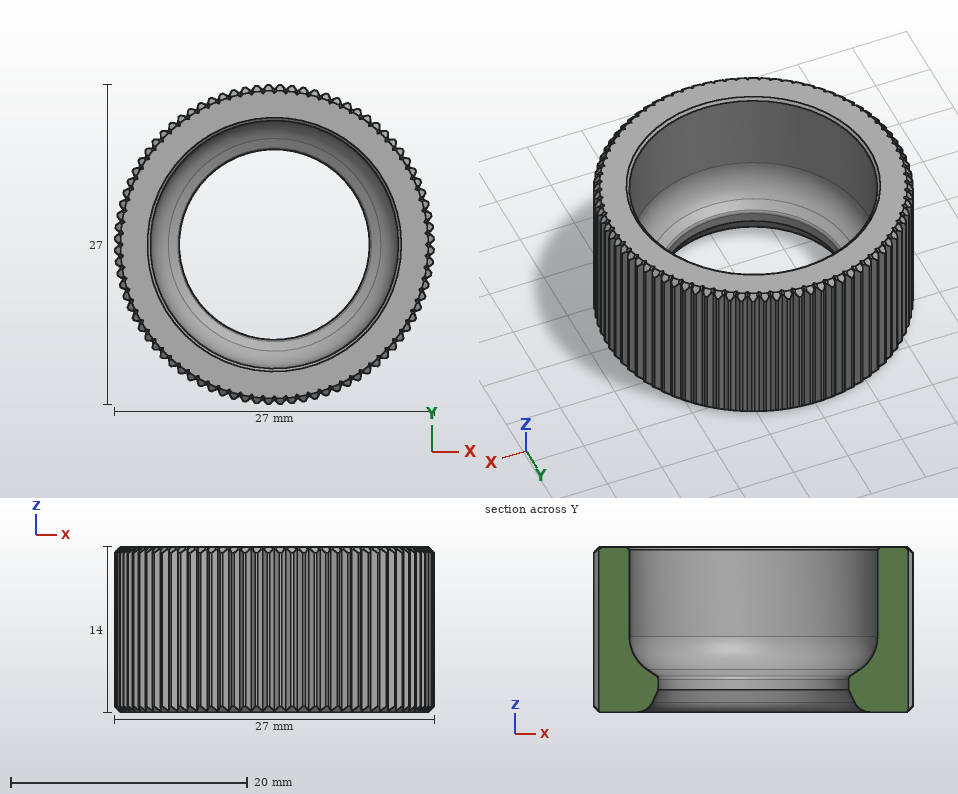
import cadquery as cq
import math

HEIGHT = 14.0
OUTER_RADIUS = 13.52
RIM_CHAMFER = 0.5

GROOVE_COUNT = 84
GROOVE_DEPTH = 0.4
GROOVE_ANGLE = 90.0
RUNOUT_HEIGHT = 0.25
RUNOUT_DEPTH = 0.3
CLEARANCE = 0.5

POCKET_RADIUS = 10.5
POCKET_CHAMFER = 0.25
BOWL_RADIUS = 3.4
BOWL_TOP = 6.45
SEAT_SLOPE = 34.0
BORE_RADIUS = 8.05
BORE_FILLET = 0.35

RELIEF_TOP = 1.9
RELIEF_ANGLE = 25.0
RELIEF_FILLET = 1.5


def arc_point(center, radius, angle):
    """Point on a circle in the (r, z) half-plane, angle in degrees."""
    a = math.radians(angle)
    return (center[0] + radius * math.cos(a), center[1] + radius * math.sin(a))


def make_ring():
    """Revolved ring, before knurling."""
    bowl_center = (POCKET_RADIUS - BOWL_RADIUS, BOWL_TOP)
    seat_angle = 90.0 - SEAT_SLOPE
    bowl_mid = arc_point(bowl_center, BOWL_RADIUS, -seat_angle / 2)
    seat_top = arc_point(bowl_center, BOWL_RADIUS, -seat_angle)

    fillet_r = BORE_RADIUS + BORE_FILLET
    seat_bottom_r = fillet_r - BORE_FILLET * math.cos(math.radians(seat_angle))
    seat_drop = (seat_top[0] - seat_bottom_r) * math.tan(math.radians(SEAT_SLOPE))
    seat_bottom = (seat_bottom_r, seat_top[1] - seat_drop)
    bore_top = seat_bottom[1] - BORE_FILLET * math.sin(math.radians(seat_angle))
    fillet_mid = arc_point((fillet_r, bore_top), BORE_FILLET, 180.0 - seat_angle / 2)

    relief_bottom_z = RELIEF_FILLET * (1 - math.sin(math.radians(RELIEF_ANGLE)))
    flare = (RELIEF_TOP - relief_bottom_z) * math.tan(math.radians(RELIEF_ANGLE))
    relief_bottom = (BORE_RADIUS + flare, relief_bottom_z)
    foot_r = relief_bottom[0] + RELIEF_FILLET * math.cos(math.radians(RELIEF_ANGLE))
    foot_angle = 180.0 + (RELIEF_ANGLE + 90.0) / 2
    foot_mid = arc_point((foot_r, RELIEF_FILLET), RELIEF_FILLET, foot_angle)

    return (
        cq.Workplane("XZ")
        .moveTo(foot_r, 0)
        .lineTo(OUTER_RADIUS - RIM_CHAMFER, 0)
        .lineTo(OUTER_RADIUS, RIM_CHAMFER)
        .lineTo(OUTER_RADIUS, HEIGHT - RIM_CHAMFER)
        .lineTo(OUTER_RADIUS - RIM_CHAMFER, HEIGHT)
        .lineTo(POCKET_RADIUS + POCKET_CHAMFER, HEIGHT)
        .lineTo(POCKET_RADIUS, HEIGHT - POCKET_CHAMFER)
        .lineTo(POCKET_RADIUS, BOWL_TOP)
        .threePointArc(bowl_mid, seat_top)
        .lineTo(*seat_bottom)
        .threePointArc(fillet_mid, (BORE_RADIUS, bore_top))
        .lineTo(BORE_RADIUS, RELIEF_TOP)
        .lineTo(*relief_bottom)
        .threePointArc(foot_mid, (foot_r, 0))
        .close()
        .revolve(360, (0, 0, 0), (0, 1, 0))
    )


def groove_section(root_radius, z):
    """V section pointing inwards along +X, with its root on root_radius."""
    length = GROOVE_DEPTH + CLEARANCE
    half_width = length * math.tan(math.radians(GROOVE_ANGLE / 2))
    return (
        cq.Workplane("XY", origin=(root_radius, 0, z))
        .moveTo(0, 0)
        .lineTo(length, -half_width)
        .lineTo(length, half_width)
        .close()
    )


def make_groove_cutter():
    """One straight V groove whose root turns inwards just below the top face."""
    root = OUTER_RADIUS - GROOVE_DEPTH
    straight = groove_section(root, 0).extrude(HEIGHT)
    end = groove_section(root - RUNOUT_DEPTH, HEIGHT).val()
    start = groove_section(root, HEIGHT - RUNOUT_HEIGHT).val()
    runout = cq.Solid.makeLoft([start, end], True)
    return straight.union(cq.Workplane(runout)).val()


def cut_knurling(ring):
    """Cut the grooves evenly around the ring."""
    cutter = make_groove_cutter()
    pitch = 360.0 / GROOVE_COUNT
    cutters = [
        cutter.rotate(cq.Vector(0, 0, 0), cq.Vector(0, 0, 1), i * pitch)
        for i in range(GROOVE_COUNT)
    ]
    return cq.Workplane(ring.val().cut(*cutters))


result = cut_knurling(make_ring())